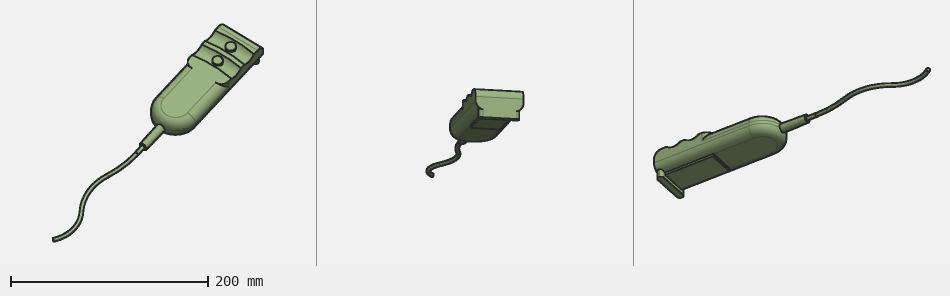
import cadquery as cq

width = 50.0
half_width = width / 2
height = 23.3
back_y = 115.0
bottom_round = 9.5
top_round = 10.0
back_round = 9.5
head_corner = 9.3
head_length = 67.5

button_offsets = (21.7, 43.8)
button_radius = 5.5
groove_width = 16.3
groove_depth = 3.2
groove_bow = 2.08

foot_width = 42.2
foot_thickness = 7.5
foot_corner = 3.2
foot_drop = 7.7
pad_width = 30.5
pad_drop = 3.0
pad_end = 66.0
pad_chamfer = 0.5

cable_z = 11.5
boot_end_y = -54.7
boot_start_radius = 5.0
boot_end_radius = 4.5
neck_end_y = -66.0
neck_radius = 2.2
cable_radius = 2.08
cable_joints = ((-7.0, -105.5), (-0.5, -158.0), (-2.2, -203.3))
embed = 6.5


def make_body():
    """Flat-backed, round-nosed body with a square-edged head."""
    body = (
        cq.Workplane("XY")
        .moveTo(-half_width, back_y)
        .lineTo(-half_width, 0)
        .threePointArc((0, -half_width), (half_width, 0))
        .lineTo(half_width, back_y)
        .close()
        .extrude(height)
    )
    side_edges = cq.selectors.BoxSelector(
        (-width, -width, -height), (width, back_y - back_round, 2 * height)
    )
    body = body.faces("<Z").edges(side_edges).fillet(bottom_round)
    body = body.faces(">Z").edges(side_edges).fillet(top_round)

    head_bottom = bottom_round
    head = (
        cq.Workplane("XY", origin=(0, back_y - head_length / 2, head_bottom))
        .rect(width, head_length)
        .extrude(height - head_bottom)
        .edges("|Z and <Y")
        .fillet(head_corner)
    )
    return body.union(head).faces(">Y").edges(">Z").fillet(back_round)


def make_groove(offset):
    """Ring whose round section scoops a bowed groove across the head."""
    section_radius = ((groove_width / 2) ** 2 + groove_depth**2) / (2 * groove_depth)
    bow_radius = (half_width**2 + groove_bow**2) / (2 * groove_bow)
    axis_y = back_y - offset - bow_radius
    section_z = height - groove_depth + section_radius
    ring = cq.Solid.makeTorus(
        bow_radius, section_radius, cq.Vector(0, axis_y, section_z), cq.Vector(0, 0, 1)
    )
    window = cq.Workplane("XY").box(2 * width, 2 * groove_width, 4 * height)
    return window.translate((0, back_y - offset, height)).intersect(cq.Workplane(obj=ring))


def make_button(offset):
    """Round button rising from the groove floor, flush with the top."""
    return (
        cq.Workplane("XY", origin=(0, back_y - offset, height - embed))
        .circle(button_radius)
        .extrude(embed)
    )


def make_foot():
    """Round-cornered hook bar along the back edge."""
    return (
        cq.Workplane("XY", origin=(0, back_y - foot_thickness / 2, -foot_drop))
        .rect(foot_width, foot_thickness)
        .extrude(foot_drop + embed)
        .edges("|Z")
        .fillet(foot_corner)
    )


def make_pad():
    """Thin raised pad running forward from the foot."""
    pad_start = foot_thickness / 2
    pad_length = pad_end - pad_start
    return (
        cq.Workplane("XY", origin=(0, back_y - pad_start - pad_length / 2, -pad_drop))
        .rect(pad_width, pad_length)
        .extrude(pad_drop + embed)
        .faces("<Z")
        .edges("<Y")
        .chamfer(pad_chamfer)
    )


def make_boot():
    """Tapered strain relief and straight neck, turned about the cable axis."""
    root_y = embed - half_width
    return (
        cq.Workplane("XY", origin=(0, 0, cable_z))
        .moveTo(0, root_y)
        .lineTo(boot_start_radius, root_y)
        .lineTo(boot_end_radius, boot_end_y)
        .lineTo(neck_radius, boot_end_y)
        .lineTo(neck_radius, neck_end_y)
        .lineTo(0, neck_end_y)
        .close()
        .revolve(360, (0, 0), (0, 1))
    )


def make_cable():
    """Wavy cable made of three tangent arcs, rooted inside the neck."""
    root_y = neck_end_y + embed
    path = cq.Workplane("XY", origin=(0, 0, cable_z)).moveTo(0, root_y).lineTo(0, neck_end_y)
    for joint in cable_joints:
        path = path.tangentArcPoint(joint, relative=False)
    return cq.Workplane("XZ", origin=(0, root_y, cable_z)).circle(cable_radius).sweep(path)


result = make_body()
for button_offset in button_offsets:
    result = result.cut(make_groove(button_offset))
    result = result.union(make_button(button_offset))
for attached_piece in (make_foot(), make_pad(), make_boot(), make_cable()):
    result = result.union(attached_piece)